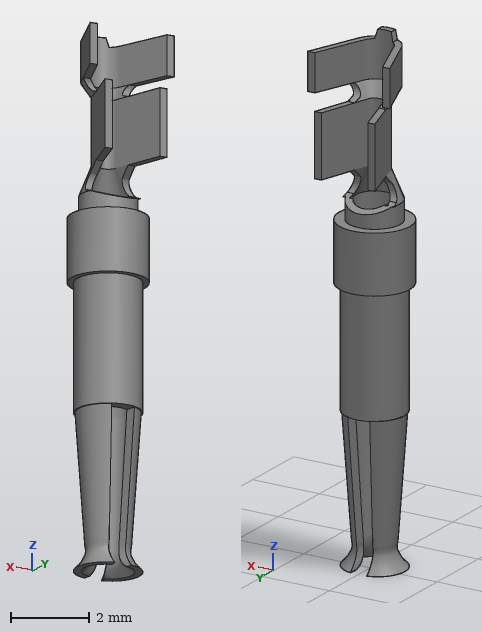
import cadquery as cq
import math

sheet = 0.2

flare_top = 0.69
leg_top = 4.23
barrel_top = 7.7
collar_top = 9.42
neck_top = 9.98
wire_crimp_bottom = 10.8
wire_crimp_top = 12.63
strain_crimp_bottom = 13.05
strain_crimp_top = 14.14
total_height = 14.4

collar_radius = 2.1 / 2
barrel_radius = 1.77 / 2
neck_radius = 1.53 / 2
bore_radius = neck_radius - sheet

web_tip = 0.43

wire_crimp = (0.45, -0.42, 17.0, 1.47)
strain_crimp = (1.37 / 2, -0.72, 21.0, 1.27)
neck_channel = (neck_radius, -neck_radius, 0.0, web_tip)

web_shoulder = 0.39
lower_scoop_start = (0.07, 10.51)
lower_scoop_deepest = (0.01, 10.3)
lower_scoop_end = (0.15, 10.05)
neck_mouth_low = 9.79
upper_scoop_start = 0.09
upper_scoop_deepest = (0.05, 12.89)
upper_scoop_end = (0.22, 12.69)

tab_base_width = 0.55
tab_top_width = 0.4

leg_root = (leg_top, 0.85, bore_radius, 0.0, 0.33, 0.27)
leg_waist = (flare_top, 0.52, 0.32, 0.094, 0.25, 0.15)
flare_sections = [
    leg_waist,
    (0.4, 0.52, 0.32, 0.094, 0.25, 0.15),
    (0.19, 0.63, 0.42, 0.094, 0.25, 0.15),
    (0.0, 0.8, 0.6, 0.094, 0.25, 0.22),
]


def cylinder(radius, bottom, top):
    return cq.Workplane("XY", origin=(0, 0, bottom)).circle(radius).extrude(top - bottom)


def u_wire(z, crimp, tip_y):
    """Closed outline of a U-shaped strip with splayed wings, at height z."""
    outer, bottom, splay_degrees, _ = crimp
    inner = outer - sheet
    centre_y = bottom + outer
    splay = math.radians(splay_degrees)

    def bend_end(radius):
        return radius * math.cos(splay), centre_y - radius * math.sin(splay)

    def wing_tip(radius):
        x, y = bend_end(radius)
        return x + (tip_y - y) * math.tan(splay), tip_y

    def mirrored(point):
        return -point[0], point[1]

    return (
        cq.Workplane("XY", origin=(0, 0, z))
        .moveTo(*mirrored(wing_tip(outer)))
        .lineTo(*mirrored(bend_end(outer)))
        .threePointArc((0, bottom), bend_end(outer))
        .lineTo(*wing_tip(outer))
        .lineTo(*wing_tip(inner))
        .lineTo(*bend_end(inner))
        .threePointArc((0, bottom + sheet), mirrored(bend_end(inner)))
        .lineTo(*mirrored(wing_tip(inner)))
        .close()
    )


def crimp_barrel(crimp, bottom, top):
    return u_wire(bottom, crimp, crimp[-1]).extrude(top - bottom)


def web(lower_z, lower_crimp, upper_z, upper_crimp):
    lower_wire = u_wire(lower_z, lower_crimp, web_tip).val()
    upper_wire = u_wire(upper_z, upper_crimp, web_tip).val()
    return cq.Workplane(cq.Solid.makeLoft([lower_wire, upper_wire], True))


def side_cut(outline):
    """Cutter running through the part along X, from an outline in (Y, Z)."""
    return outline.close().extrude(collar_radius, both=True)


def leg_wire(z, outer, inner, offset, slot_outer, slot_inner):
    """Closed outline of the +X leg: a ring sector facing away from the slot."""
    outer_y = math.sqrt(outer**2 - (slot_outer - offset) ** 2)
    inner_y = math.sqrt(inner**2 - (slot_inner - offset) ** 2)
    return (
        cq.Workplane("XY", origin=(0, 0, z))
        .moveTo(slot_outer, -outer_y)
        .threePointArc((offset + outer, 0), (slot_outer, outer_y))
        .lineTo(slot_inner, inner_y)
        .threePointArc((offset + inner, 0), (slot_inner, -inner_y))
        .close()
        .val()
    )


body = cylinder(barrel_radius, leg_top, barrel_top)
body = body.union(cylinder(collar_radius, barrel_top, collar_top))
body = body.union(cylinder(neck_radius, collar_top, neck_top))
body = body.cut(cylinder(bore_radius, leg_top, neck_top))

lower_web = web(neck_top, neck_channel, wire_crimp_bottom, wire_crimp)
lower_scoop = side_cut(
    cq.Workplane("YZ")
    .moveTo(web_shoulder, wire_crimp_bottom)
    .lineTo(*lower_scoop_start)
    .threePointArc(lower_scoop_deepest, lower_scoop_end)
    .lineTo(neck_radius, neck_mouth_low)
    .lineTo(collar_radius, neck_mouth_low)
    .lineTo(collar_radius, wire_crimp_bottom)
)
upper_web = web(wire_crimp_top, wire_crimp, strain_crimp_bottom, strain_crimp)
upper_scoop = side_cut(
    cq.Workplane("YZ")
    .moveTo(upper_scoop_start, strain_crimp_bottom)
    .threePointArc(upper_scoop_deepest, upper_scoop_end)
    .lineTo(web_shoulder, wire_crimp_top)
    .lineTo(collar_radius, wire_crimp_top)
    .lineTo(collar_radius, strain_crimp_bottom)
)
lower_part = body.union(lower_web).cut(lower_scoop)
upper_web = upper_web.cut(upper_scoop)

tab_outline = (
    cq.Workplane("XZ")
    .moveTo(-tab_base_width / 2, strain_crimp_top)
    .lineTo(tab_base_width / 2, strain_crimp_top)
    .lineTo(tab_top_width / 2, total_height)
    .lineTo(-tab_top_width / 2, total_height)
    .close()
    .extrude(collar_radius)
)
tab = crimp_barrel(strain_crimp, strain_crimp_top, total_height).intersect(tab_outline)

taper = cq.Workplane(cq.Solid.makeLoft([leg_wire(*leg_root), leg_wire(*leg_waist)], True))
flare = cq.Workplane(cq.Solid.makeLoft([leg_wire(*section) for section in flare_sections], False))
leg = taper.union(flare)

result = (
    lower_part.union(crimp_barrel(wire_crimp, wire_crimp_bottom, wire_crimp_top))
    .union(upper_web)
    .union(crimp_barrel(strain_crimp, strain_crimp_bottom, strain_crimp_top))
    .union(tab)
    .union(leg)
    .union(leg.mirror("YZ"))
)